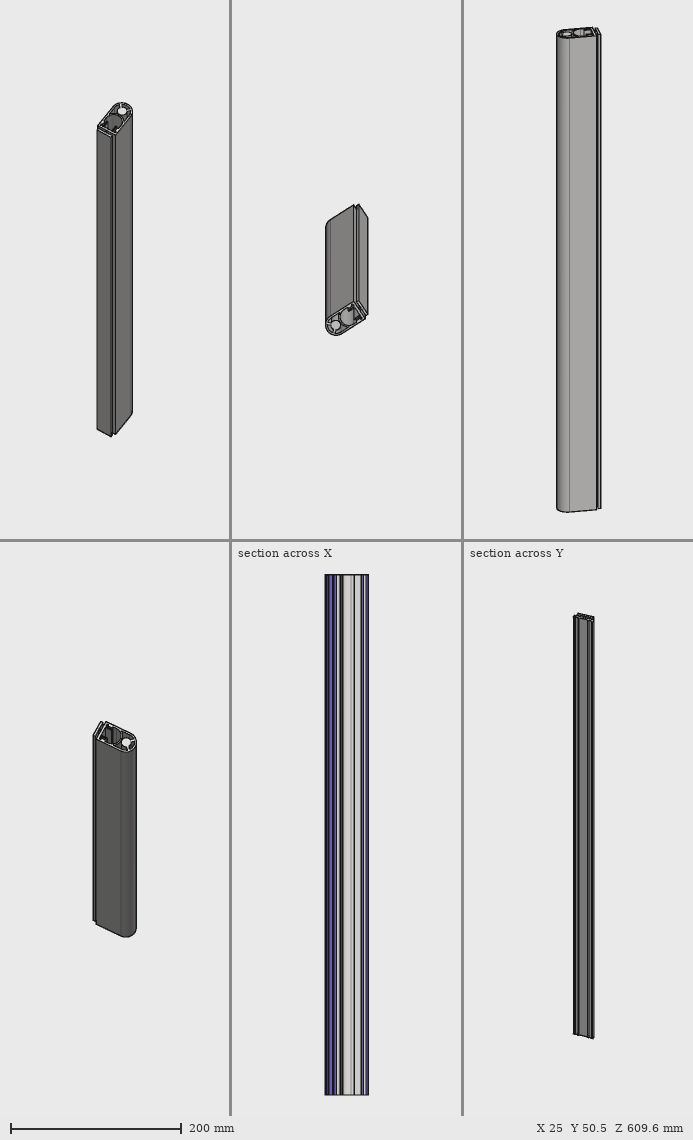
import cadquery as cq
import math

WIDTH = 25.0
HEIGHT = 50.5
LENGTH = 609.6
WALL = 2.3

TOP_Y = HEIGHT / 2
BOTTOM_Y = -HEIGHT / 2
OUTER_RADIUS = WIDTH / 2
INNER_HALF = OUTER_RADIUS - WALL
CROWN_Y = TOP_Y - OUTER_RADIUS

CORE_Y = 13.4
CORE_RADIUS = 5.75
WEB_THICKNESS = 2.9
WEB_ANGLE = 48.0

ARCH_Y = -4.8
ARCH_BACK_RADIUS = 12.0
FLOOR_TOP_Y = -16.9
BODY_BOTTOM_Y = -19.75

HOOK_INNER_HALF = 8.6
HOOK_TOP_Y = -9.3
HOOK_TIP_Y = -9.9
HOOK_BOTTOM_Y = -15.2
LIP_OUTER_HALF = 6.9
LIP_INNER_HALF = 5.45
LIP_TOP_Y = -8.5

FOOT_HALF = 9.8
FOOT_EDGE_Y = -22.1
FOOT_ROOT_Y = -22.6
STEM_HALF = 0.8


def bar(outline):
    """Full-length bar with the given straight-sided section."""
    return cq.Workplane("XY").polyline(outline).close().extrude(LENGTH)


def rod(radius, y):
    """Full-length round bar centred on the YZ plane."""
    return cq.Workplane("XY").center(0, y).circle(radius).extrude(LENGTH)


def arched_bar(half_width, arch_y, bottom_y):
    """Full-length bar with a half-round top and a flat bottom."""
    return (
        cq.Workplane("XY")
        .moveTo(-half_width, bottom_y)
        .lineTo(-half_width, arch_y)
        .threePointArc((0, arch_y + half_width), (half_width, arch_y))
        .lineTo(half_width, bottom_y)
        .close()
        .extrude(LENGTH)
    )


def diagonal_web(side):
    """Web from inside the core to inside the crown wall, on the given side (-1 or 1)."""
    wall_middle = OUTER_RADIUS - WALL / 2
    reach = (CORE_RADIUS + wall_middle) / 2
    span = wall_middle - CORE_RADIUS
    angle = math.radians(WEB_ANGLE)
    return (
        cq.Workplane("XY")
        .center(side * reach * math.cos(angle), CROWN_Y + reach * math.sin(angle))
        .transformed(rotate=(0, 0, side * WEB_ANGLE))
        .rect(span, WEB_THICKNESS)
        .extrude(LENGTH)
    )


def upper_chamber():
    """Hollow around the core, between the crown and the back of the channel arch."""
    chamber = arched_bar(INNER_HALF, CROWN_Y, ARCH_Y)
    chamber = chamber.cut(rod(ARCH_BACK_RADIUS, ARCH_Y)).cut(rod(CORE_RADIUS, CORE_Y))
    for side in (-1, 1):
        chamber = chamber.cut(diagonal_web(side))
    return chamber


def lower_channel():
    """Arched channel, less a hook on each wall and a lip beside each hook."""
    hook = [
        (INNER_HALF, HOOK_TOP_Y),
        (HOOK_INNER_HALF, HOOK_TIP_Y),
        (HOOK_INNER_HALF, HOOK_BOTTOM_Y),
        (INNER_HALF, HOOK_BOTTOM_Y),
    ]
    lip = [
        (LIP_OUTER_HALF, FLOOR_TOP_Y),
        (LIP_OUTER_HALF, LIP_TOP_Y),
        (LIP_INNER_HALF, LIP_TOP_Y),
        (LIP_INNER_HALF, FLOOR_TOP_Y),
    ]
    channel = arched_bar(INNER_HALF, ARCH_Y, FLOOR_TOP_Y)
    for side in (-1, 1):
        for outline in (hook, lip):
            channel = channel.cut(bar([(side * x, y) for x, y in outline]))
    return channel


def foot():
    """Stem and plate below the body."""
    right_half = [
        (STEM_HALF, BODY_BOTTOM_Y),
        (STEM_HALF, FOOT_ROOT_Y),
        (FOOT_HALF, FOOT_EDGE_Y),
        (FOOT_HALF, BOTTOM_Y),
    ]
    left_half = [(-x, y) for x, y in reversed(right_half)]
    return bar(right_half + left_half)


body = arched_bar(OUTER_RADIUS, CROWN_Y, BODY_BOTTOM_Y)
body = body.cut(upper_chamber()).cut(lower_channel())
result = body.union(foot())